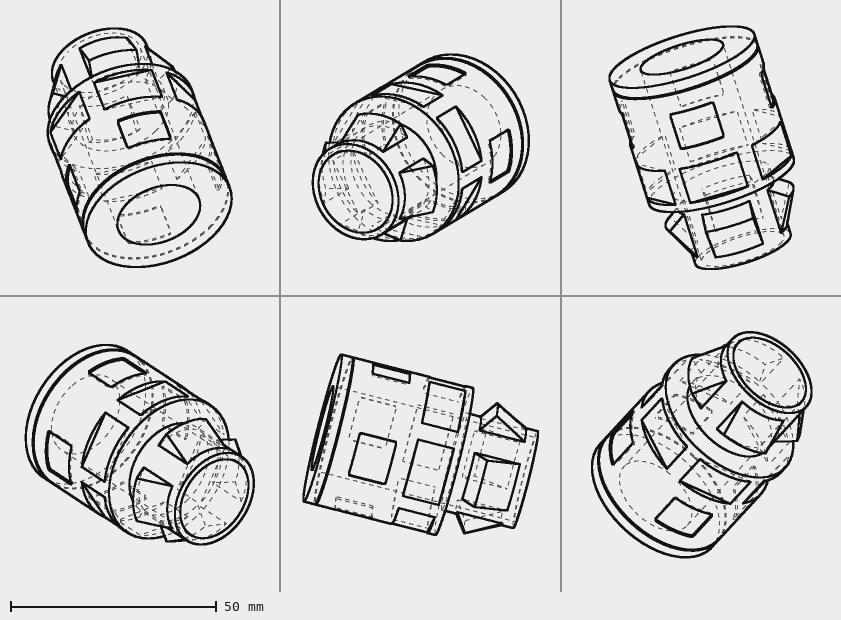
import cadquery as cq
import math

total_length = 51.0
latch_start = 3.0
latch_peak = 11.2
latch_end = 14.35
body_start = 17.95
flat_start = 19.9
flat_end = 28.9
window_start = 33.8
window_length = 9.25
groove_start = 48.0
groove_width = 0.25

bore_diameter = 21.0
spigot_diameter = 24.4
body_diameter = 37.0
groove_diameter = 36.65
window_floor_diameter = 36.0
latch_peak_diameter = 32.65
flat_apothem = 17.0

latch_width = 12.05
latch_count = 4
flat_count = 6
window_width = 10.95
window_corner_radius = 0.5
window_count = 4


def cylinder(diameter, start, end):
    """Solid cylinder about X between two axial stations."""
    return cq.Workplane("YZ", origin=(start, 0, 0)).circle(diameter / 2).extrude(end - start)


def ring_of(feature, count):
    """Copies of a feature spaced evenly about X."""
    copies = cq.Workplane("XY")
    for i in range(count):
        copies = copies.add(feature.rotate((0, 0, 0), (1, 0, 0), i * 360 / count))
    return copies.combine()


def make_latches():
    """Barbed latches: a double cone trimmed to parallel-sided blocks."""
    root = spigot_diameter / 2
    barb = (
        cq.Workplane("XZ")
        .polyline([
            (latch_start, 0),
            (latch_start, root),
            (latch_peak, latch_peak_diameter / 2),
            (latch_end, root),
            (latch_end, 0),
        ])
        .close()
        .revolve(360, (0, 0, 0), (1, 0, 0))
    )
    block = cq.Workplane("XY").box(
        total_length, latch_width, body_diameter / 2, centered=(False, True, False)
    )
    return ring_of(barb.intersect(block), latch_count)


def make_flats():
    """Material outside the hexagonal wrench section."""
    corner_diameter = 2 * flat_apothem / math.cos(math.pi / flat_count)
    hexagon = (
        cq.Workplane("YZ", origin=(flat_start, 0, 0))
        .polygon(flat_count, corner_diameter)
        .extrude(flat_end - flat_start)
    )
    return cylinder(2 * body_diameter, flat_start, flat_end).cut(hexagon)


def make_windows():
    """Shallow rounded pockets with a cylindrical floor."""
    pocket = (
        cq.Workplane("XY")
        .center(window_start + window_length / 2, 0)
        .rect(window_length, window_width)
        .extrude(body_diameter)
        .edges("|Z")
        .fillet(window_corner_radius)
        .cut(cylinder(window_floor_diameter, 0, total_length))
    )
    return ring_of(pocket, window_count)


def make_groove():
    """Fine parting groove in front of the end collar."""
    groove_end = groove_start + groove_width
    return cylinder(2 * body_diameter, groove_start, groove_end).cut(
        cylinder(groove_diameter, groove_start, groove_end)
    )


spigot = cylinder(spigot_diameter, 0, body_start)
body = cylinder(body_diameter, body_start, total_length)
outside = (
    spigot.union(body)
    .union(make_latches())
    .cut(make_flats())
    .cut(make_windows())
    .cut(make_groove())
)
result = outside.cut(cylinder(bore_diameter, 0, total_length))